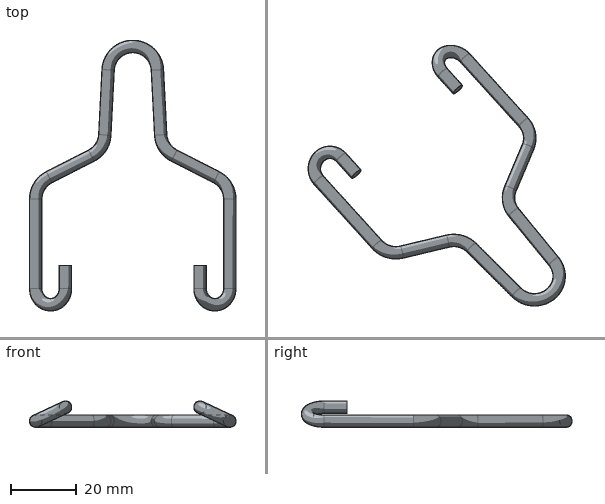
import cadquery as cq
import math

wire_diameter = 3.8
leg_x = 29.5
bend_radius = 7.5
crown_center_y = 66.0
neck_angle = 2.9
shoulder_angle = 27.0
shoulder_corner_y = 31.7

hook_radius = 5.0
hook_tilt = 25.0
hook_tip_length = 7.0

neck_lean = math.radians(neck_angle)
shoulder_fall = math.radians(shoulder_angle)
tilt = math.radians(hook_tilt)

leg_direction = (0.0, 1.0)
shoulder_direction = (-math.cos(shoulder_fall), math.sin(shoulder_fall))
neck_direction = (-math.sin(neck_lean), math.cos(neck_lean))

crown_tangent = (bend_radius * math.cos(neck_lean), crown_center_y + bend_radius * math.sin(neck_lean))
crown_top = (0.0, crown_center_y + bend_radius)


def move(point, direction, distance):
    """Point reached by travelling a distance along a unit direction."""
    return (point[0] + distance * direction[0], point[1] + distance * direction[1])


def cross(a, b):
    """Signed area of two plane vectors."""
    return a[0] * b[1] - a[1] * b[0]


def crossing(point_a, direction_a, point_b, direction_b):
    """Point where two lines in the plane cross."""
    gap = (point_b[0] - point_a[0], point_b[1] - point_a[1])
    return move(point_a, direction_a, cross(gap, direction_b) / cross(direction_a, direction_b))


def bend(corner, incoming, outgoing):
    """Start, middle and end of the arc that rounds a corner of the centreline."""
    turn = math.acos(incoming[0] * outgoing[0] + incoming[1] * outgoing[1])
    setback = bend_radius * math.tan(turn / 2)
    start = move(corner, incoming, -setback)
    end = move(corner, outgoing, setback)
    inward = (outgoing[0] - incoming[0], outgoing[1] - incoming[1])
    inward_length = math.hypot(*inward)
    inward_unit = (inward[0] / inward_length, inward[1] / inward_length)
    middle = move(corner, inward_unit, bend_radius / math.cos(turn / 2) - bend_radius)
    return start, middle, end


def mirrored(point):
    """Point on the opposite side of the plane X = 0."""
    return (-point[0], *point[1:])


def hook_point(across, y):
    """Point in the right hook's tilted plane, measured inward from the leg."""
    return (leg_x - across * math.cos(tilt), y, across * math.sin(tilt))


def wire_centerline():
    """Tangent chain of lines and arcs from the right hook tip to the left hook tip."""
    shoulder_corner = (leg_x, shoulder_corner_y)
    neck_corner = crossing(shoulder_corner, shoulder_direction, crown_tangent, neck_direction)
    shoulder_bend = bend(shoulder_corner, leg_direction, shoulder_direction)
    neck_bend = bend(neck_corner, shoulder_direction, neck_direction)

    hook_end = hook_point(2 * hook_radius, 0)
    hook_bottom = hook_point(hook_radius, -hook_radius)
    hook_start = hook_point(0, 0)
    hook_tip = hook_point(2 * hook_radius, hook_tip_length)

    right_arcs = [(hook_end, hook_bottom, hook_start), shoulder_bend, neck_bend]
    crown_arc = (crown_tangent, crown_top, mirrored(crown_tangent))
    left_arcs = [tuple(mirrored(p) for p in reversed(arc)) for arc in reversed(right_arcs)]

    edges = []
    last = cq.Vector(*hook_tip)
    for arc in right_arcs + [crown_arc] + left_arcs:
        start, middle, end = [cq.Vector(*p) for p in arc]
        edges.append(cq.Edge.makeLine(last, start))
        edges.append(cq.Edge.makeThreePointArc(start, middle, end))
        last = end
    edges.append(cq.Edge.makeLine(last, cq.Vector(*mirrored(hook_tip))))
    return cq.Wire.assembleEdges(edges), hook_tip


def bent_wire():
    """Round wire swept along the centreline."""
    centerline, hook_tip = wire_centerline()
    tip_plane = cq.Plane(origin=hook_tip, xDir=(1, 0, 0), normal=(0, -1, 0))
    return cq.Workplane(tip_plane).circle(wire_diameter / 2).sweep(cq.Workplane(centerline))


result = bent_wire()